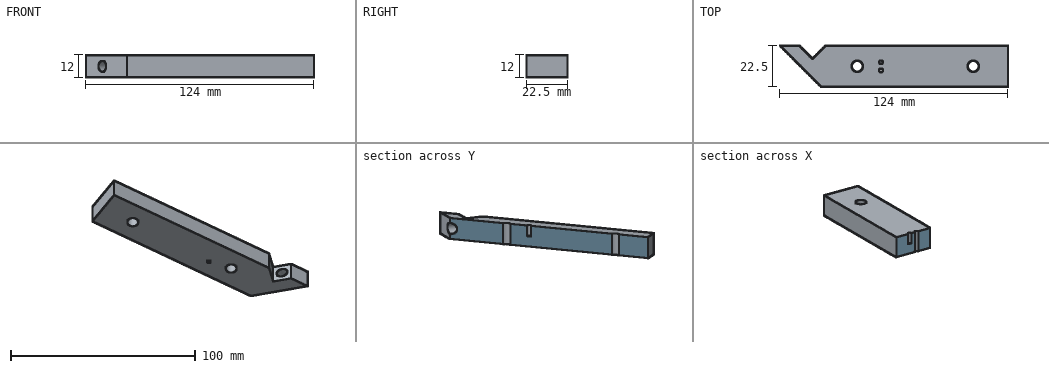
import cadquery as cq

length = 124.0
width = 22.5
thickness = 12.0

notch_center_x = 17.7
notch_depth = 7.1

mount_hole_diameter = 6.0
mount_hole_x_positions = (42.0, 105.0)
pin_hole_diameter = 2.0
pin_hole_x = 54.9
pin_hole_spacing = 4.5
blind_pin_hole_depth = thickness / 2

end_hole_diameter = 6.0
end_hole_x = 8.9


def make_bar():
    """Bar with a 45 degree slanted end and a V notch in the back edge."""
    outline = [
        (0, width),
        (width, 0),
        (length, 0),
        (length, width),
        (notch_center_x + notch_depth, width),
        (notch_center_x, width - notch_depth),
        (notch_center_x - notch_depth, width),
    ]
    return cq.Workplane("XY").polyline(outline).close().extrude(thickness)


def make_top_holes(diameter, centers, depth):
    """Cutters for holes sunk from the top face to the given depth."""
    top = cq.Workplane("XY").workplane(offset=thickness)
    return top.pushPoints(centers).circle(diameter / 2).extrude(-depth)


def make_end_hole():
    """Cutter square to the slanted end, stopping in the open notch."""
    wall = (notch_center_x - notch_depth) / 2**0.5
    start = cq.Vector(end_hole_x, width - end_hole_x, thickness / 2)
    end_plane = cq.Plane(origin=start, xDir=(1, -1, 0), normal=(1, 1, 0))
    return cq.Workplane(end_plane).circle(end_hole_diameter / 2).extrude(wall)


mount_centers = [(x, width / 2) for x in mount_hole_x_positions]
through_pin_center = (pin_hole_x, (width - pin_hole_spacing) / 2)
blind_pin_center = (pin_hole_x, (width + pin_hole_spacing) / 2)

result = (
    make_bar()
    .cut(make_top_holes(mount_hole_diameter, mount_centers, thickness))
    .cut(make_top_holes(pin_hole_diameter, [through_pin_center], thickness))
    .cut(make_top_holes(pin_hole_diameter, [blind_pin_center], blind_pin_hole_depth))
    .cut(make_end_hole())
)